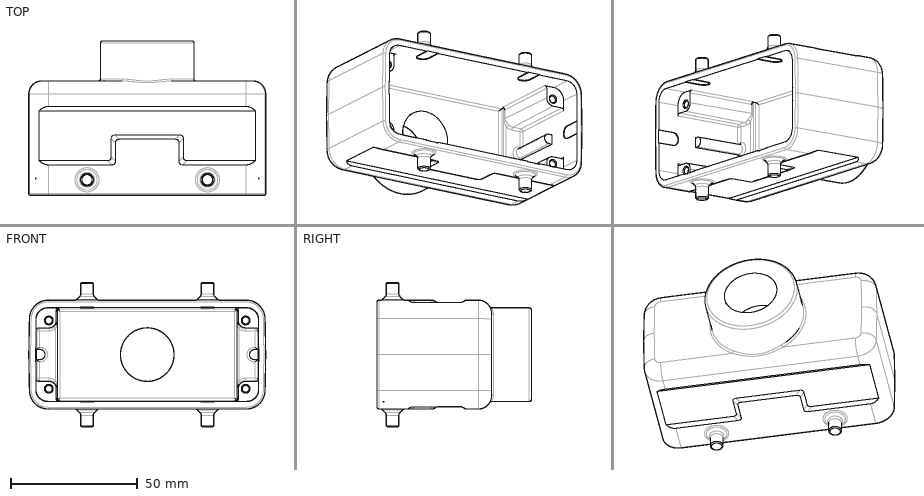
import cadquery as cq
import math

length_x = 93.5
shell_height = 43.0
shell_depth = 45.2
side_draft = 1.0
outer_corner_radius = 7.5
back_edge_radius = 5.1
mouth_edge_radius = 0.75

cavity_half_x = 43.9
cavity_half_z = 18.5
cavity_depth = 42.1
cavity_corner_radius = 4.7
cavity_draft = 0.7
cavity_floor_radius = 0.9

post_x = 38.8
post_z = 13.5
post_radius = 2.9
post_front = 9.35
screw_hole_diameter = 2.7
screw_mouth_diameter = 3.5
screw_hole_depth = 18.7
screw_mouth_angle = 45.0

ledge_half_x = 35.3
ledge_height = 2.8
ledge_edge_radius = 0.8
peg_radius = 2.0
peg_x = 42.3
peg_front = 17.8
root_radius = 0.9

neck_diameter = 37.0
neck_end = 61.0
neck_end_radius = 0.9
neck_root_radius = 0.75
cable_hole_diameter = 21.0

pin_x = 23.75
pin_y = 6.2
pin_diameter = 5.05
pin_tip_z = 28.5
pin_tip_chamfer = 0.5
pin_cone_angle = 45.0
pin_foot_radius = 4.8
pin_foot_arc = 1.0
pin_neck_arc = 1.4

groove_width = 5.2
groove_depth = 0.2
pin_groove_end = 9.4
end_groove_end = 9.5

panel_depth = 0.9
panel_slope_width = 1.7
panel_front = 13.7
panel_back = 33.4
tab_half_x = 14.2
tab_back = 23.8
tab_corner_radius = 3.0

half_height = shell_height / 2
ledge_front = cavity_depth - ledge_height

select_margin = 0.9
touching = 0.01


def facing_back(y):
    """Workplane at depth y that extrudes towards +Y; its local axes are -X and Z."""
    return cq.Workplane(cq.Plane(origin=(0, y, 0), xDir=(-1, 0, 0), normal=(0, 1, 0)))


def make_shell():
    half_x = length_x / 2
    corner_x = half_x - half_height * math.tan(math.radians(side_draft))
    outline = [
        (half_x, 0),
        (corner_x, half_height),
        (-corner_x, half_height),
        (-half_x, 0),
        (-corner_x, -half_height),
        (corner_x, -half_height),
    ]
    shell = facing_back(0).polyline(outline).close().extrude(shell_depth)
    shell = shell.edges("|Y").edges("<Z or >Z").fillet(outer_corner_radius)
    return shell.faces(">Y").edges().fillet(back_edge_radius)


def add_neck(body):
    neck = facing_back(cavity_depth).circle(neck_diameter / 2).extrude(neck_end - cavity_depth)
    neck = neck.faces(">Y").edges().fillet(neck_end_radius)
    body = body.union(neck)
    reach = neck_diameter / 2 + select_margin
    root_zone = cq.selectors.BoxSelector(
        (-reach, shell_depth - select_margin, -reach),
        (reach, shell_depth + select_margin, reach),
        boundingbox=True,
    )
    return body.edges(root_zone).fillet(neck_root_radius)


def panel_outline(grow):
    """Panel outline around the tab, moved outwards by grow from the edge of the flat floor."""
    overrun_x = length_x
    tab_x = tab_half_x - grow
    front = panel_front - grow
    back = panel_back + grow
    return [
        (-overrun_x, front),
        (-tab_x, front),
        (-tab_x, tab_back - grow),
        (tab_x, tab_back - grow),
        (tab_x, front),
        (overrun_x, front),
        (overrun_x, back),
        (-overrun_x, back),
    ]


def make_panel_cutter():
    """Sunken panel of the +Z face: flat floor with a notch left for the tab, and sloping walls."""
    cutter = (
        cq.Workplane("XY", origin=(0, 0, half_height - panel_depth))
        .polyline(panel_outline(0))
        .close()
        .workplane(offset=panel_depth)
        .polyline(panel_outline(panel_slope_width))
        .close()
        .loft(ruled=True)
    )
    half_way = half_height - panel_depth / 2
    tab_reach = tab_half_x + select_margin
    tab_zone = cq.selectors.BoxSelector(
        (-tab_reach, panel_front - panel_slope_width, half_way - touching),
        (tab_reach, tab_back, half_way + touching),
    )
    return cutter.edges(tab_zone).fillet(tab_corner_radius)


def make_post(sign_x, sign_z):
    """Post that fills a cavity corner, widening with the draft towards the cavity floor."""
    width = half_height
    inner_x = post_x - post_radius
    inner_z = post_z - post_radius
    return (
        facing_back(post_front)
        .center(-sign_x * (inner_x + width / 2), sign_z * (inner_z + width / 2))
        .sketch()
        .rect(width, width)
        .vertices()
        .fillet(post_radius)
        .finalize()
        .extrude(cavity_depth - post_front, taper=-cavity_draft)
    )


def make_peg(sign_x):
    """D-shaped peg standing out of an end wall, rising from the ledge towards the mouth."""
    length = cavity_depth - peg_front
    round_part = facing_back(peg_front).center(-sign_x * peg_x, 0).circle(peg_radius).extrude(length)
    root_width = length_x / 2 - peg_x
    root = (
        facing_back(peg_front)
        .center(-sign_x * (peg_x + root_width / 2), 0)
        .rect(root_width, 2 * peg_radius)
        .extrude(length)
    )
    return round_part.union(root)


def is_root_edge(edge):
    """True for the inside corners where posts and pegs meet the ledges and the cavity walls."""
    box = edge.BoundingBox()
    middle = edge.Center()
    x = abs(middle.x)
    z = abs(middle.z)
    on_ledge = abs(box.ymin - ledge_front) < touching and abs(box.ymax - ledge_front) < touching
    if on_ledge:
        return x > ledge_half_x + ledge_edge_radius + touching
    along_post = box.ymin > post_front - touching and box.ylen > post_front
    at_end_wall = x > cavity_half_x - select_margin and peg_radius + select_margin < z < post_z
    at_broad_wall = z > cavity_half_z - select_margin and x < post_x - select_margin
    return along_post and (at_end_wall or at_broad_wall)


def make_cavity():
    cavity = (
        facing_back(0)
        .sketch()
        .rect(2 * cavity_half_x, 2 * cavity_half_z)
        .vertices()
        .fillet(cavity_corner_radius)
        .finalize()
        .extrude(cavity_depth, taper=cavity_draft)
    )
    ledge_width = length_x / 2 - ledge_half_x
    ledge = cq.Workplane("XY").box(ledge_width, ledge_height, shell_height)
    ledge = ledge.translate((ledge_half_x + ledge_width / 2, ledge_front + ledge_height / 2, 0))
    cavity = cavity.cut(ledge).cut(ledge.mirror("YZ"))
    cavity = cavity.faces(">Y").edges().fillet(cavity_floor_radius)
    half_margin = select_margin / 2
    ledge_edges = cq.selectors.BoxSelector(
        (-ledge_half_x - half_margin, ledge_front - half_margin, -half_margin),
        (ledge_half_x + half_margin, ledge_front + half_margin, half_margin),
    )
    cavity = cavity.edges(ledge_edges).fillet(ledge_edge_radius)
    for sign_x in (-1, 1):
        cavity = cavity.cut(make_peg(sign_x))
        for sign_z in (-1, 1):
            cavity = cavity.cut(make_post(sign_x, sign_z))
    return cavity.edges().filter(is_root_edge).fillet(root_radius)


def make_screw_hole(sign_x, sign_z):
    """Blind hole in a post, with a countersunk mouth."""
    mouth_run = (screw_mouth_diameter - screw_hole_diameter) / 2
    mouth_depth = mouth_run / math.tan(math.radians(screw_mouth_angle))
    start = facing_back(post_front).center(-sign_x * post_x, sign_z * post_z)
    hole = start.circle(screw_hole_diameter / 2).extrude(screw_hole_depth)
    mouth = start.circle(screw_mouth_diameter / 2).extrude(mouth_depth, taper=screw_mouth_angle)
    return hole.union(mouth)


def make_groove(end_y):
    """Cutter for a groove in the inside of a +Z wall at z = 0: open at the mouth, round at its far end."""
    end_center_y = end_y - groove_width / 2
    base = cq.Workplane("XY", origin=(0, 0, -groove_depth))
    straight = base.center(0, end_center_y / 2).rect(groove_width, end_center_y).extrude(2 * groove_depth)
    end = base.center(0, end_center_y).circle(groove_width / 2).extrude(2 * groove_depth)
    return straight.union(end)


def make_pin():
    """Locking pin of the +Z face: a cone flowing into the wall below and the shank above."""
    shank_radius = pin_diameter / 2
    bend = math.radians(pin_cone_angle)
    half_bend = bend / 2
    foot_mid = (
        pin_foot_radius - pin_foot_arc * math.sin(half_bend),
        half_height + pin_foot_arc * (1 - math.cos(half_bend)),
    )
    foot_end = (
        pin_foot_radius - pin_foot_arc * math.sin(bend),
        half_height + pin_foot_arc * (1 - math.cos(bend)),
    )
    neck_start_x = shank_radius + pin_neck_arc * (1 - math.cos(bend))
    neck_start_z = foot_end[1] + (foot_end[0] - neck_start_x) * math.tan(bend)
    neck_end_z = neck_start_z + pin_neck_arc * math.sin(bend)
    neck_mid = (
        shank_radius + pin_neck_arc * (1 - math.cos(half_bend)),
        neck_end_z - pin_neck_arc * math.sin(half_bend),
    )
    root_z = half_height - panel_depth
    return (
        cq.Workplane("XZ")
        .moveTo(0, root_z)
        .lineTo(pin_foot_radius, root_z)
        .lineTo(pin_foot_radius, half_height)
        .threePointArc(foot_mid, foot_end)
        .lineTo(neck_start_x, neck_start_z)
        .threePointArc(neck_mid, (shank_radius, neck_end_z))
        .lineTo(shank_radius, pin_tip_z - pin_tip_chamfer)
        .lineTo(shank_radius - pin_tip_chamfer, pin_tip_z)
        .lineTo(0, pin_tip_z)
        .close()
        .revolve(360, (0, 0, 0), (0, 1, 0))
        .translate((pin_x, pin_y, 0))
    )


shell = add_neck(make_shell())
shell = shell.faces("<Y").edges().fillet(mouth_edge_radius)
panel_cutter = make_panel_cutter()
shell = shell.cut(panel_cutter).cut(panel_cutter.mirror("XY"))

result = shell.cut(make_cavity())
result = result.cut(facing_back(0).circle(cable_hole_diameter / 2).extrude(neck_end))

for sign_x in (-1, 1):
    for sign_z in (-1, 1):
        result = result.cut(make_screw_hole(sign_x, sign_z))

pin = make_pin()
pin_groove = make_groove(pin_groove_end).translate((pin_x, 0, cavity_half_z))
for side_pin, side_groove in ((pin, pin_groove), (pin.mirror("YZ"), pin_groove.mirror("YZ"))):
    result = result.union(side_pin).union(side_pin.mirror("XY"))
    result = result.cut(side_groove).cut(side_groove.mirror("XY"))

end_groove = make_groove(end_groove_end).rotate((0, 0, 0), (0, 1, 0), 90)
end_groove = end_groove.translate((cavity_half_x, 0, 0))
result = result.cut(end_groove).cut(end_groove.mirror("YZ"))